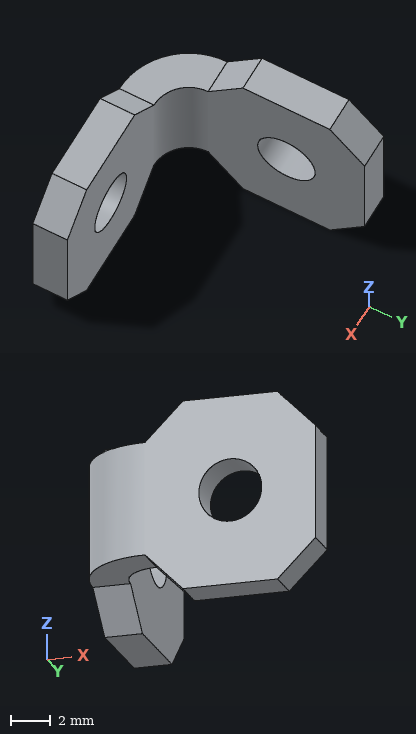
import cadquery as cq

side = 13.0
height = 10.0
thickness = 2.0
corner_cut = 2.0
hole_diameter = 3.3

inner_radius = thickness
outer_radius = inner_radius + thickness
plate_length = side - outer_radius
plate_center = outer_radius + plate_length / 2
bend_height = height - 2 * corner_cut


def x_plate():
    """Octagonal plate along X with a through hole, outer face on Y = 0."""
    blank = (
        cq.Workplane("XY")
        .box(plate_length, thickness, height)
        .edges("|Y")
        .chamfer(corner_cut)
    )
    drilled = blank.faces("<Y").workplane(centerOption="CenterOfBoundBox").hole(hole_diameter)
    return drilled.translate((plate_center, thickness / 2, 0))


def bend():
    """Quarter ring joining the two plates, centered on Z = 0."""
    ring = (
        cq.Workplane("XY")
        .center(outer_radius, outer_radius)
        .circle(outer_radius)
        .circle(inner_radius)
        .extrude(bend_height / 2, both=True)
    )
    quadrant = cq.Workplane("XY").box(
        outer_radius, outer_radius, bend_height, centered=(False, False, True)
    )
    return ring.intersect(quadrant)


front_plate = x_plate()
side_plate = front_plate.rotate((0, 0, 0), (0, 0, 1), 90).mirror("YZ")

result = bend().union(front_plate).union(side_plate)